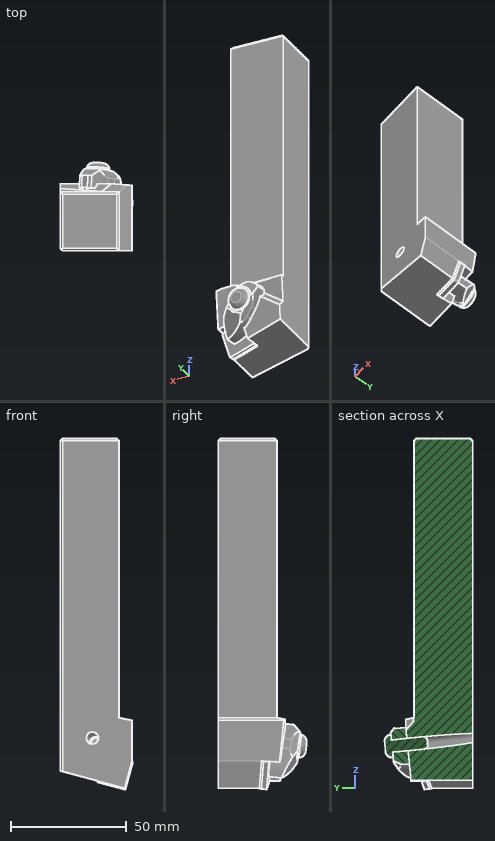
import cadquery as cq
import math

TOTAL_LENGTH = 151.8
SHANK_SIZE = 25.5
EDGE_CHAMFER = 1.0
SHOULDER_HEIGHT = 31.1
HEAD_WIDTH = 31.1
HEAD_THICKNESS = 30.4
SHOULDER_ANGLE = math.radians(12)
LEAD_ANGLE = math.radians(15)
HEEL_CORNER_HEIGHT = 8.0
FLANK_HEIGHT = 12.5

AXIS_X = 14.0
AXIS_Z = 22.3
CLAMP_DIRECTION = math.radians(35)
TILT = math.radians(7)

SEAT_LEVEL = 20.8
SHIM_THICKNESS = 0.9
INSERT_THICKNESS = 2.3
RECESS_LEVEL = 24.9
CLAMP_HEEL_LEVEL = 26.4
LAND_LEVEL = 28.5
CLAMP_TOP_LEVEL = 35.2
SCREW_TOP_LEVEL = 38.3
INSERT_LEVEL = SEAT_LEVEL + SHIM_THICKNESS
INSERT_TOP_LEVEL = INSERT_LEVEL + INSERT_THICKNESS
CUT_CLEARANCE = 30.4

RECESS_FLOOR_END = -7.9
RECESS_RAMP_END = -5.5

INSERT_SIDE = 12.6
CORNER_RADIUS = 0.5
TIP_X = 28.2
TIP_Z = -0.1

TAIL_END = -9.4
TAIL_HALF_WIDTH = 1.5
TAIL_SHOULDER = -8.8
TAIL_SHOULDER_HALF_WIDTH = 3.2
CLAMP_HALF_WIDTH = 5.2
TAIL_ARC_MID = -4.3
TAIL_ARC_HALF_WIDTH = 4.5
FLANK_START = 0.5
FLANK_END = 5.3
NOSE_END = 17.6
NOSE_TOP_LEVEL = 29.8
BOSS_RADIUS = 5.9
NOSE_SLOPE_START = 5.6
BEVEL_LEVEL = 31.9
TOP_HALF_WIDTH = 4.3

SCREW_RADIUS = 2.6
SCREW_END_LEVEL = 19.7
SCREW_END_CHAMFER = 0.8
HEAD_RADIUS = 5.0
HEAD_RIM_HEIGHT = 0.8
HEAD_FLAT_RADIUS = 2.6
DOME_MID_RADIUS = 4.3
DOME_MID_LEVEL = 37.3
PIN_RADIUS = 0.9
PIN_POSITION = -9.0
PIN_HOLE_DEPTH = 1.5

HEADING = cq.Vector(math.sin(CLAMP_DIRECTION), 0, -math.cos(CLAMP_DIRECTION))
AXIS = HEADING * math.sin(TILT) + cq.Vector(0, math.cos(TILT), 0)
ALONG = HEADING * math.cos(TILT) - cq.Vector(0, math.sin(TILT), 0)
ACROSS = AXIS.cross(ALONG)
AXIS_FOOT = cq.Vector(AXIS_X, 0, AXIS_Z)


def clamp_plane(level):
    """Plane square to the clamping axis: x runs to the tip, y across the clamp."""
    return cq.Workplane(cq.Plane(AXIS_FOOT + AXIS * level, ALONG, AXIS))


def clamp_section():
    """Lengthwise plane of the clamp: x runs to the tip, y up the clamping axis."""
    return cq.Workplane(cq.Plane(AXIS_FOOT, ALONG, ACROSS * -1))


def tip_plane(level):
    """Plane square to the clamping axis, in line with the tip, x along the end cutting edge."""
    edge_x, edge_z = math.cos(LEAD_ANGLE), -math.sin(LEAD_ANGLE)
    edge_y = -(AXIS.x * edge_x + AXIS.z * edge_z) / AXIS.y
    tip_offset = cq.Vector(TIP_X - AXIS_X, 0, TIP_Z - AXIS_Z)
    tip_y = (INSERT_TOP_LEVEL - AXIS.dot(tip_offset)) / AXIS.y
    tip = cq.Vector(TIP_X, tip_y, TIP_Z)
    origin = tip + AXIS * (level - INSERT_TOP_LEVEL)
    return cq.Workplane(cq.Plane(origin, (edge_x, edge_y, edge_z), AXIS))


def make_shank():
    shank = cq.Workplane("XY").workplane(offset=SHOULDER_HEIGHT)
    shank = shank.rect(SHANK_SIZE, SHANK_SIZE, centered=False).extrude(TOTAL_LENGTH - SHOULDER_HEIGHT)
    return shank.faces(">Z").chamfer(EDGE_CHAMFER)


def make_head_stock():
    lead_slope = math.tan(LEAD_ANGLE)
    tip_drop = HEEL_CORNER_HEIGHT - HEAD_WIDTH * lead_slope + FLANK_HEIGHT * lead_slope**2
    tip_z = tip_drop / (1 + lead_slope**2)
    tip_x = HEAD_WIDTH - (FLANK_HEIGHT - tip_z) * lead_slope
    shoulder_drop = (HEAD_WIDTH - SHANK_SIZE) * math.tan(SHOULDER_ANGLE)
    outline = [
        (0, HEEL_CORNER_HEIGHT),
        (tip_x, tip_z),
        (HEAD_WIDTH, FLANK_HEIGHT),
        (HEAD_WIDTH, SHOULDER_HEIGHT - shoulder_drop),
        (SHANK_SIZE, SHOULDER_HEIGHT),
        (0, SHOULDER_HEIGHT),
    ]
    return cq.Workplane("XZ").polyline(outline).close().extrude(-HEAD_THICKNESS)


def shoulder_cutter():
    """Wedge that slopes the head's upper end where it stands above the shank."""
    run = HEAD_THICKNESS - SHANK_SIZE
    profile = [
        (SHANK_SIZE, SHOULDER_HEIGHT),
        (HEAD_THICKNESS, SHOULDER_HEIGHT - run * math.tan(SHOULDER_ANGLE)),
        (HEAD_THICKNESS, SHOULDER_HEIGHT),
    ]
    return cq.Workplane("YZ").polyline(profile).close().extrude(HEAD_WIDTH)


def land_cutter():
    """Everything above the tilted land and the lower recess behind the clamp."""
    profile = [
        (-CUT_CLEARANCE, RECESS_LEVEL),
        (RECESS_FLOOR_END, RECESS_LEVEL),
        (RECESS_RAMP_END, LAND_LEVEL),
        (CUT_CLEARANCE, LAND_LEVEL),
        (CUT_CLEARANCE, LAND_LEVEL + CUT_CLEARANCE),
        (-CUT_CLEARANCE, LAND_LEVEL + CUT_CLEARANCE),
    ]
    return clamp_section().polyline(profile).close().extrude(CUT_CLEARANCE, both=True)


def pocket_cutter():
    """Insert pocket with two walls, open at the tip and upwards."""
    pocket = tip_plane(SEAT_LEVEL).rect(2 * INSERT_SIDE, 2 * INSERT_SIDE)
    return pocket.extrude(CUT_CLEARANCE)


def edge_cutter():
    """Bevel along the whole outer corner of the -X and -Y faces."""
    profile = [(0, 0), (EDGE_CHAMFER, 0), (0, EDGE_CHAMFER)]
    return cq.Workplane("XY").polyline(profile).close().extrude(TOTAL_LENGTH)


def make_holder(pin):
    holder = make_head_stock().cut(shoulder_cutter()).cut(land_cutter())
    holder = holder.cut(pocket_cutter()).union(make_shank()).cut(edge_cutter())
    screw_bore = clamp_plane(-CUT_CLEARANCE).circle(SCREW_RADIUS).extrude(3 * CUT_CLEARANCE)
    return holder.cut(screw_bore).cut(pin)


def make_tip_plate(level, thickness):
    """Square plate whose front corner points at the tip; serves the shim and the insert."""
    centre = -INSERT_SIDE / 2
    plate = tip_plane(level).center(centre, centre).rect(INSERT_SIDE, INSERT_SIDE).extrude(thickness)
    plane = tip_plane(level).plane
    back_corner = cq.selectors.NearestToPointSelector(
        plane.toWorldCoords((-INSERT_SIDE, -INSERT_SIDE, thickness / 2)).toTuple()
    )
    upright = cq.selectors.ParallelDirSelector(AXIS)
    return plate.edges(upright - back_corner).fillet(CORNER_RADIUS)


def make_screw():
    """Clamp screw with a domed head, turned about the clamping axis."""
    rim_level = CLAMP_TOP_LEVEL + HEAD_RIM_HEIGHT
    half_section = (
        clamp_section()
        .moveTo(0, SCREW_END_LEVEL)
        .lineTo(SCREW_RADIUS - SCREW_END_CHAMFER, SCREW_END_LEVEL)
        .lineTo(SCREW_RADIUS, SCREW_END_LEVEL + SCREW_END_CHAMFER)
        .lineTo(SCREW_RADIUS, CLAMP_TOP_LEVEL)
        .lineTo(HEAD_RADIUS, CLAMP_TOP_LEVEL)
        .lineTo(HEAD_RADIUS, rim_level)
        .threePointArc((DOME_MID_RADIUS, DOME_MID_LEVEL), (HEAD_FLAT_RADIUS, SCREW_TOP_LEVEL))
        .lineTo(0, SCREW_TOP_LEVEL)
        .close()
    )
    return half_section.revolve(360, (0, 0), (0, 1))


def make_pin():
    """Small pin that carries the heel of the clamp above the recess floor."""
    bottom_level = RECESS_LEVEL - PIN_HOLE_DEPTH
    pin = clamp_plane(bottom_level).center(PIN_POSITION, 0).circle(PIN_RADIUS)
    return pin.extrude(CLAMP_HEEL_LEVEL - bottom_level)


def clamp_blank():
    """Plan outline of the clamp: narrow tail, parallel flanks and rounded nose."""
    half = (
        clamp_plane(INSERT_TOP_LEVEL)
        .moveTo(TAIL_END, 0)
        .lineTo(TAIL_END, TAIL_HALF_WIDTH)
        .lineTo(TAIL_SHOULDER, TAIL_SHOULDER_HALF_WIDTH)
        .threePointArc((TAIL_ARC_MID, TAIL_ARC_HALF_WIDTH), (FLANK_START, CLAMP_HALF_WIDTH))
        .lineTo(FLANK_END, CLAMP_HALF_WIDTH)
        .tangentArcPoint((NOSE_END, 0), relative=False)
        .close()
        .extrude(SCREW_TOP_LEVEL - INSERT_TOP_LEVEL)
    )
    return half.union(half.mirror(ACROSS, AXIS_FOOT))


def clamp_envelope():
    """Cone that falls away from the screw seat, joined to the sloping top of the nose."""
    cone_drop = CLAMP_TOP_LEVEL - INSERT_TOP_LEVEL
    boss = (
        clamp_section()
        .moveTo(0, INSERT_TOP_LEVEL)
        .lineTo(BOSS_RADIUS + cone_drop, INSERT_TOP_LEVEL)
        .lineTo(BOSS_RADIUS, CLAMP_TOP_LEVEL)
        .lineTo(0, CLAMP_TOP_LEVEL)
        .close()
        .revolve(360, (0, 0), (0, 1))
    )
    nose = (
        clamp_section()
        .moveTo(0, INSERT_TOP_LEVEL)
        .lineTo(NOSE_END, INSERT_TOP_LEVEL)
        .lineTo(NOSE_END, NOSE_TOP_LEVEL)
        .lineTo(NOSE_SLOPE_START, CLAMP_TOP_LEVEL)
        .lineTo(0, CLAMP_TOP_LEVEL)
        .close()
        .extrude(CLAMP_HALF_WIDTH, both=True)
    )
    return boss.union(nose)


def flank_envelope():
    """Cross-section of the clamp, upright below and leaning inwards towards its top."""
    profile = [
        (-CLAMP_HALF_WIDTH, INSERT_TOP_LEVEL),
        (CLAMP_HALF_WIDTH, INSERT_TOP_LEVEL),
        (CLAMP_HALF_WIDTH, BEVEL_LEVEL),
        (TOP_HALF_WIDTH, CLAMP_TOP_LEVEL),
        (-TOP_HALF_WIDTH, CLAMP_TOP_LEVEL),
        (-CLAMP_HALF_WIDTH, BEVEL_LEVEL),
    ]
    cross_section = cq.Workplane(cq.Plane(AXIS_FOOT, ACROSS, ALONG))
    return cross_section.polyline(profile).close().extrude(CUT_CLEARANCE, both=True)


def heel_cutter():
    """Space under the clamp's heel, as far as the ramp of the recess."""
    ramp_run = (RECESS_RAMP_END - RECESS_FLOOR_END) / (LAND_LEVEL - RECESS_LEVEL)
    ramp_point = RECESS_FLOOR_END + (CLAMP_HEEL_LEVEL - RECESS_LEVEL) * ramp_run
    corners = (
        (TAIL_END, INSERT_TOP_LEVEL),
        (ramp_point, INSERT_TOP_LEVEL),
        (ramp_point, CLAMP_HEEL_LEVEL),
        (TAIL_END, CLAMP_HEEL_LEVEL),
    )
    return clamp_section().polyline(corners).close().extrude(CLAMP_HALF_WIDTH, both=True)


def make_clamp(holder, screw):
    """The underside follows the holder's ramp, land and pocket, down to the insert."""
    clamp = clamp_blank().intersect(clamp_envelope()).intersect(flank_envelope())
    clamp = clamp.cut(heel_cutter())
    return clamp.cut(screw).cut(holder)


screw = make_screw()
pin = make_pin()
holder = make_holder(pin)
shim = make_tip_plate(SEAT_LEVEL, SHIM_THICKNESS)
insert = make_tip_plate(INSERT_LEVEL, INSERT_THICKNESS)
clamp = make_clamp(holder, screw)

bodies = [holder, shim, insert, clamp, screw, pin]
result = cq.Compound.makeCompound([body.solids().val() for body in bodies])